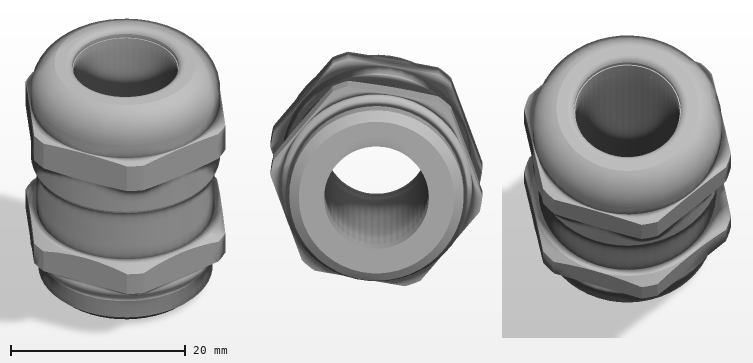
import cadquery as cq
import math

total_height = 30.0

across_flats = 22.0
corner_diameter = 24.39

thread_diameter = 20.0
thread_core_diameter = 17.8
thread_top = 3.4
thread_chamfer = (thread_diameter - thread_core_diameter) / 2
ring_diameter = 21.9
ring_bottom = 4.4

body_hex_bottom = 6.05
body_hex_top = 9.55
body_hex_chamfer_angle = 30.0
body_diameter = 20.4

nut_diameter = 21.7
nut_bottom = 16.5
nut_rim_diameter = 21.52
nut_rim_height = 0.27
nut_hex_bottom = 20.5
nut_hex_top = 24.45
nut_hex_chamfer_angle = 9.5
dome_start = 26.25
dome_radius = 3.95

bore_diameter = 12.0
mouth_diameter = 12.25
mouth_depth = 0.95
mouth_lip_diameter = 13.75
mouth_lip_depth = 0.44


def revolve_profile(profile):
    """Turn a closed (radius, height) outline about the Z axis."""
    return profile.close().revolve(360, (0, 0, 0), (0, 1, 0))


def make_thread_and_ring():
    """Chamfered thread envelope, its core and the round-edged sealing ring."""
    core_radius = thread_core_diameter / 2
    thread_radius = thread_diameter / 2
    ring_round = (body_hex_bottom - ring_bottom) / 2
    ring_edge = ring_diameter / 2
    profile = (
        cq.Workplane("XZ")
        .moveTo(0, 0)
        .lineTo(core_radius, 0)
        .lineTo(thread_radius, thread_chamfer)
        .lineTo(thread_radius, thread_top)
        .lineTo(thread_radius - (ring_bottom - thread_top), ring_bottom)
        .lineTo(ring_edge - ring_round, ring_bottom)
        .threePointArc((ring_edge, ring_bottom + ring_round), (ring_edge - ring_round, body_hex_bottom))
        .lineTo(0, body_hex_bottom)
    )
    return revolve_profile(profile)


def make_hexagon(bottom, top, chamfer_angle, chamfer_start_diameter, chamfer_bottom):
    """Hexagon with flats facing +/-Y and turned corners, coned on top and optionally below."""
    start_radius = chamfer_start_diameter / 2
    corner_radius = corner_diameter / 2
    cone_drop = (corner_radius - start_radius) * math.tan(math.radians(chamfer_angle))
    profile = cq.Workplane("XZ").moveTo(0, bottom)
    if chamfer_bottom:
        profile = profile.lineTo(start_radius, bottom).lineTo(corner_radius, bottom + cone_drop)
    else:
        profile = profile.lineTo(corner_radius, bottom)
    profile = (
        profile
        .lineTo(corner_radius, top - cone_drop)
        .lineTo(start_radius, top)
        .lineTo(0, top)
    )
    sharp_corner_diameter = across_flats / math.cos(math.radians(30))
    prism = (
        cq.Workplane("XY")
        .workplane(offset=bottom)
        .polygon(6, sharp_corner_diameter)
        .extrude(top - bottom)
    )
    return prism.intersect(revolve_profile(profile))


def make_body():
    """Plain cylinder between the body hexagon and the dome nut."""
    return (
        cq.Workplane("XY")
        .workplane(offset=body_hex_bottom)
        .circle(body_diameter / 2)
        .extrude(nut_bottom - body_hex_bottom)
    )


def make_dome_nut():
    """Round nut with a tapered lower rim and a dome ending in a flat top."""
    nut_radius = nut_diameter / 2
    dome_center = nut_radius - dome_radius
    end_angle = math.asin((total_height - dome_start) / dome_radius)
    flat_radius = dome_center + dome_radius * math.cos(end_angle)
    dome_middle = (
        dome_center + dome_radius * math.cos(end_angle / 2),
        dome_start + dome_radius * math.sin(end_angle / 2),
    )
    profile = (
        cq.Workplane("XZ")
        .moveTo(0, nut_bottom)
        .lineTo(nut_rim_diameter / 2, nut_bottom)
        .lineTo(nut_radius, nut_bottom + nut_rim_height)
        .lineTo(nut_radius, dome_start)
        .threePointArc(dome_middle, (flat_radius, total_height))
        .lineTo(0, total_height)
    )
    return revolve_profile(profile)


def make_passage():
    """Through bore with a slightly wider mouth and a lip rounded off from the flat top."""
    mouth = mouth_diameter / 2
    bore = bore_diameter / 2
    lip = mouth_lip_diameter / 2
    lip_width = lip - mouth
    lip_radius = (lip_width**2 + mouth_lip_depth**2) / (2 * mouth_lip_depth)
    half_angle = math.asin(lip_width / lip_radius) / 2
    lip_middle = (
        lip - lip_radius * math.sin(half_angle),
        total_height - lip_radius * (1 - math.cos(half_angle)),
    )
    profile = (
        cq.Workplane("XZ")
        .moveTo(0, 0)
        .lineTo(bore, 0)
        .lineTo(bore, total_height - mouth_depth)
        .lineTo(mouth, total_height - mouth_depth)
        .lineTo(mouth, total_height - mouth_lip_depth)
        .threePointArc(lip_middle, (lip, total_height))
        .lineTo(0, total_height)
    )
    return revolve_profile(profile)


body_hex = make_hexagon(body_hex_bottom, body_hex_top, body_hex_chamfer_angle, across_flats, False)
nut_hex = make_hexagon(nut_hex_bottom, nut_hex_top, nut_hex_chamfer_angle, nut_diameter, True)

result = (
    make_thread_and_ring()
    .union(body_hex)
    .union(make_body())
    .union(make_dome_nut())
    .union(nut_hex)
    .cut(make_passage())
)